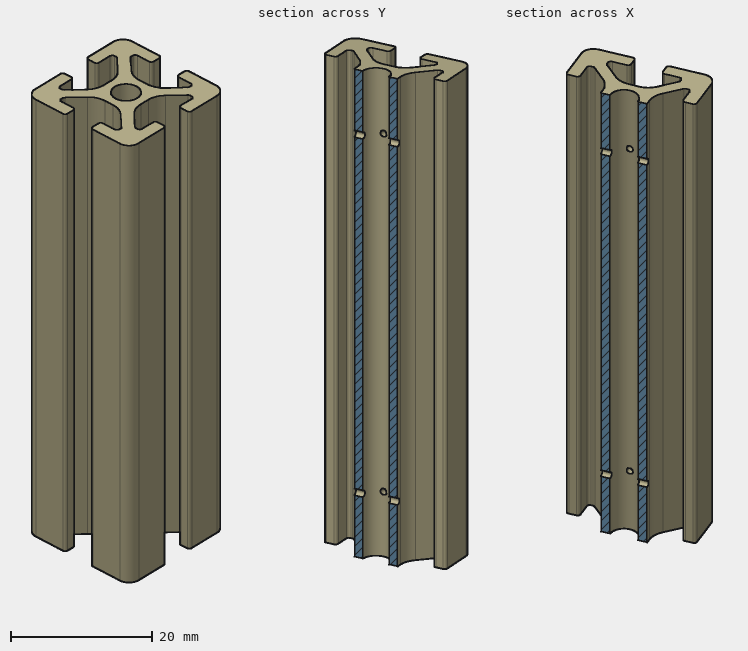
import cadquery as cq

length = 75.0
width = 20.0
half_width = width / 2
corner_radius = 1.9

slot_opening = 4.9
lip_thickness = 2.1
lip_radius = 0.45
pocket_width = 11.25
pocket_radius = 0.45

web_offset = 1.35
core_width = 7.1
core_blend_radius = 3.45

bore_diameter = 4.3
cross_hole_diameter = 1.0
cross_hole_end_distance = 10.0

tolerance = 0.01

lip_inner_y = half_width - lip_thickness
core_y = core_width / 2
pocket_half = pocket_width / 2
core_corner_x = core_y - web_offset
pocket_corner_y = pocket_half + web_offset


def slot_opening_cutter():
    """Straight mouth between the two lips of the +Y slot."""
    return (
        cq.Workplane("XY")
        .center(0, lip_inner_y + lip_thickness / 2)
        .rect(slot_opening, lip_thickness)
        .extrude(length)
    )


def slot_pocket_cutter():
    """Tapered pocket behind the lips, blended into the core."""
    outline = [
        (-pocket_half, lip_inner_y),
        (-pocket_half, pocket_corner_y),
        (-core_corner_x, core_y),
        (core_corner_x, core_y),
        (pocket_half, pocket_corner_y),
        (pocket_half, lip_inner_y),
    ]
    pocket = cq.Workplane("XY").polyline(outline).close().extrude(length)
    pocket = pocket.edges("|Z and <Y").fillet(core_blend_radius)
    return pocket.edges("|Z and (<X or >X)").fillet(pocket_radius)


def cut_slots(body):
    pocket = slot_pocket_cutter()
    opening = slot_opening_cutter()
    for angle in (0, 90, 180, 270):
        for cutter in (pocket, opening):
            body = body.cut(cutter.rotate((0, 0, 0), (0, 0, 1), angle))
    return body


def is_lip_corner(edge):
    """True for the lengthwise edges bordering a slot mouth, outside the pocket."""
    center = edge.Center()
    near, far = sorted((abs(center.x), abs(center.y)))
    at_mouth = abs(near - slot_opening / 2) < tolerance
    return at_mouth and far > lip_inner_y - tolerance


def round_lips(body):
    return body.edges("|Z").filter(is_lip_corner).fillet(lip_radius)


def drill_cross_holes(body):
    """Small through holes along X and Y near both ends."""
    for z in (cross_hole_end_distance, length - cross_hole_end_distance):
        for plane in ("XZ", "YZ"):
            drill = (
                cq.Workplane(plane)
                .center(0, z)
                .circle(cross_hole_diameter / 2)
                .extrude(half_width, both=True)
            )
            body = body.cut(drill)
    return body


blank = cq.Workplane("XY").rect(width, width).extrude(length)
blank = blank.edges("|Z").fillet(corner_radius)
profile = round_lips(cut_slots(blank))
bored = profile.cut(cq.Workplane("XY").circle(bore_diameter / 2).extrude(length))
result = drill_cross_holes(bored)